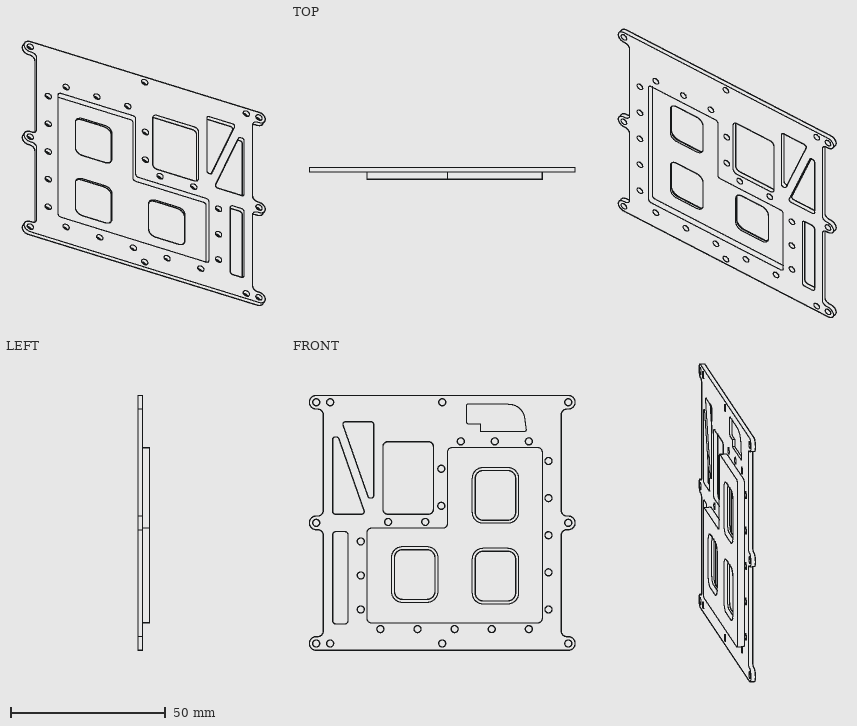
import cadquery as cq

plate_thickness = 1.5
body_width = 77.0
plate_height = 82.5
lug_radius = 2.25
lug_x = 40.75
lug_z = plate_height / 2 - lug_radius
lug_fillet = 1.75
hole_diameter = 2.2
inner_corner_hole_x = 36.25

cover_height = 2.3
cover_near = -24.35
cover_far = 32.35
cover_step = 1.7
cover_radius = 1.5
wall_thickness = 1.5
floor_thickness = 1.7
cavity_radius = 1.0

screw_offset = 2.0
long_side_places = [-20.0, -8.0, 4.0, 16.0, 28.0]
short_side_places = [6.0, 17.0, 28.0]
step_side_places = [5.5, 17.5]

window_width = 13.0
window_height = 16.0
window_radius = 2.5
bevel_size = 1.0
bevel_angle = 45.0
window_centres = [(17.2, 8.9), (17.2, -17.2), (-8.9, -16.7)]

cutout_left = -35.4
cutout_low = 2.85
cutout_high = 32.65
cutout_radius = 1.0
slot_right = -30.5
panel_left = -19.15
panel_right = -2.9
panel_top = 26.2
panel_radius = 1.5
strut_slope = -22.0 / 7.7
lower_triangle_top = 27.75
lower_triangle_top_x = -33.65
upper_triangle_bottom = 8.05
upper_triangle_bottom_x = -23.8
upper_triangle_right = -22.2
triangle_radius = 0.8

recess_depth = 0.8
recess_left = 7.8
recess_top = 38.5
recess_step_x = 12.3
recess_step_z = 32.0
recess_bottom = 29.6
recess_right = 27.25
recess_slant_start_x = 19.8
recess_corner = (26.1, 37.9)
recess_corner_radius = 5.0
recess_radius = 0.7
recess_tip_radius = 0.5

cover_front = -cover_height
plate_front = 0.0
plate_back = plate_thickness


def front_plane(y):
    """Sketch plane at the given Y: local x is X, local y is Z, normal is -Y."""
    return cq.Workplane("XZ", origin=(0, y, 0))


def prism(points, y_front, y_back):
    """Straight prism of a closed polygon between two Y positions."""
    return front_plane(y_back).polyline(points).close().extrude(y_back - y_front)


def box(x_low, x_high, z_low, z_high, y_front, y_back):
    points = [(x_low, z_low), (x_high, z_low), (x_high, z_high), (x_low, z_high)]
    return prism(points, y_front, y_back)


def cylinders(centres, diameter, y_front, y_back):
    return front_plane(y_back).pushPoints(centres).circle(diameter / 2).extrude(y_back - y_front)


def make_plate():
    """Rectangular body with three round-ended lugs on each side."""
    half_width = body_width / 2
    half_height = plate_height / 2
    plate = box(-half_width, half_width, -half_height, half_height, plate_front, plate_back)
    lug_levels = (-lug_z, 0, lug_z)
    for z in lug_levels:
        plate = plate.union(box(-lug_x, lug_x, z - lug_radius, z + lug_radius, plate_front, plate_back))
    margin = plate_thickness / 2
    for side in (-1, 1):
        root = cq.selectors.BoxSelector(
            (side * half_width - margin, plate_front - margin, -lug_z),
            (side * half_width + margin, plate_back + margin, lug_z),
        )
        plate = plate.edges("|Y").edges(root).fillet(lug_fillet)
    tips = [(side * lug_x, z) for side in (-1, 1) for z in lug_levels]
    return plate.union(cylinders(tips, 2 * lug_radius, plate_front, plate_back))


def cover_block(inset, radius, y_front, y_back):
    """L-shaped block, shrunk from the cover outline by the inset."""
    near = cover_near + inset
    far = cover_far - inset
    step = cover_step + inset
    points = [(near, -far), (far, -far), (far, -near), (step, -near), (step, -step), (near, -step)]
    return prism(points, y_front, y_back).edges("|Y").fillet(radius)


def make_window(x, z):
    """Rounded opening with a bevel that widens towards the front face."""
    window = box(-window_width / 2, window_width / 2, -window_height / 2, window_height / 2,
                 cover_front, plate_back).edges("|Y").fillet(window_radius)
    bevel_back = cover_front + bevel_size
    outline = cq.Sketch().rect(window_width, window_height).vertices().fillet(window_radius)
    bevel = front_plane(bevel_back).placeSketch(outline).extrude(bevel_size, taper=-bevel_angle)
    return window.union(bevel).translate((x, 0, z))


def hole_centres():
    corner_x = inner_corner_hole_x
    centres = [(side * lug_x, z) for side in (-1, 1) for z in (-lug_z, 0, lug_z)]
    centres += [(x, z) for x in (-corner_x, 0) for z in (-lug_z, lug_z)]
    far_line = cover_far + screw_offset
    near_line = cover_near - screw_offset
    step_line = cover_step - screw_offset
    for place in long_side_places:
        centres += [(place, -far_line), (far_line, -place)]
    for place in short_side_places:
        centres += [(place, -near_line), (near_line, -place)]
    for place in step_side_places:
        centres += [(step_line, place), (-place, -step_line)]
    return centres


def make_cutouts():
    """Slot, rectangular panel and two tapered openings either side of a slanted strut."""
    slot = box(cutout_left, slot_right, -cutout_high, -cutout_low, plate_front, plate_back)
    slot = slot.edges("|Y").fillet(cutout_radius)
    panel = box(panel_left, panel_right, cutout_low, panel_top, plate_front, plate_back)
    panel = panel.edges("|Y").fillet(panel_radius)

    lower_bottom_x = lower_triangle_top_x + (cutout_low - lower_triangle_top) / strut_slope
    lower = prism([(cutout_left, cutout_low), (lower_bottom_x, cutout_low),
                   (lower_triangle_top_x, lower_triangle_top), (cutout_left, lower_triangle_top)],
                  plate_front, plate_back)
    upper_top_x = upper_triangle_bottom_x + (cutout_high - upper_triangle_bottom) / strut_slope
    upper = prism([(upper_triangle_right, cutout_high), (upper_top_x, cutout_high),
                   (upper_triangle_bottom_x, upper_triangle_bottom),
                   (upper_triangle_right, upper_triangle_bottom)],
                  plate_front, plate_back)
    triangles = [piece.edges("|Y").fillet(triangle_radius) for piece in (lower, upper)]
    return [slot, panel] + triangles


def upright_at(x, z):
    """Selector for the recess corner edge that runs along Y at the given X and Z."""
    return cq.selectors.NearestToPointSelector((x, recess_depth / 2, z))


def make_recess():
    """Blind pocket with one large rounded corner and a notch at the lower left."""
    points = [(recess_left, recess_top), (recess_slant_start_x, recess_top), recess_corner,
              (recess_right, recess_bottom), (recess_step_x, recess_bottom),
              (recess_step_x, recess_step_z), (recess_left, recess_step_z)]
    recess = prism(points, plate_front, plate_front + recess_depth)
    recess = recess.edges(upright_at(*recess_corner)).fillet(recess_corner_radius)
    recess = recess.edges(upright_at(recess_right, recess_bottom)).fillet(recess_tip_radius)
    for z in (recess_step_z, recess_top):
        recess = recess.edges(upright_at(recess_left, z)).fillet(recess_radius)
    return recess


cover = cover_block(0, cover_radius, cover_front, plate_back)
cavity = cover_block(wall_thickness, cavity_radius, cover_front + floor_thickness, plate_back)

result = make_plate().union(cover).cut(cavity)
for centre in window_centres:
    result = result.cut(make_window(*centre))
result = result.cut(cylinders(hole_centres(), hole_diameter, plate_front, plate_back))
for cutout in make_cutouts():
    result = result.cut(cutout)
result = result.cut(make_recess())